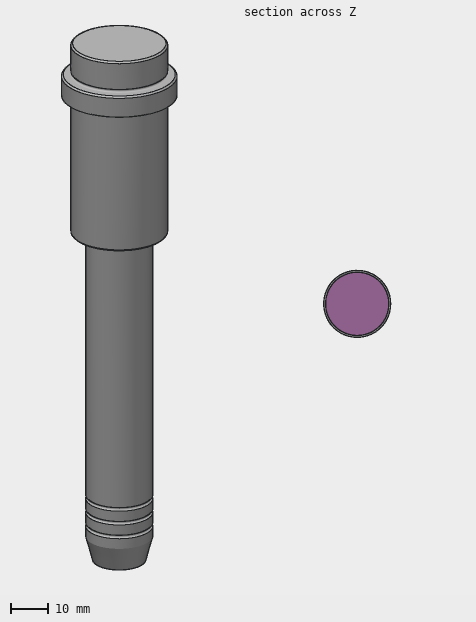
import cadquery as cq
import math

total_length = 150.0
head_length = 55.0
shoulder_z = total_length - head_length
flange_drop = 15.0
flange_thickness = 6.0
flange_bottom_z = total_length - flange_drop
flange_top_z = flange_bottom_z + flange_thickness

shaft_radius = 18.0 / 2
body_radius = 26.0 / 2
flange_radius = 31.0 / 2

groove_radius = 0.5

edge_chamfer = 0.5

relief_width = 1.0
relief_depth = 0.5

taper_length = 7.0
taper_angle = math.radians(15.0)
tip_radius = shaft_radius - taper_length * math.tan(taper_angle)
tip_fillet = 0.5

groove_count = 3
groove_pitch = 4.0
lowest_groove_z = 10.5


def cylinder(radius, bottom_z, top_z):
    return cq.Workplane("XY").workplane(offset=bottom_z).circle(radius).extrude(top_z - bottom_z)


def round_groove(surface_radius, middle_z):
    """Torus centred on a cylinder surface, so that it cuts a half-round groove around it."""
    section = cq.Workplane("XZ").center(surface_radius, middle_z).circle(groove_radius)
    return section.revolve(360, (-surface_radius, 0, 0), (-surface_radius, 1, 0))


def shaft_relief():
    """Ring that cuts a square relief into the shaft below the shoulder."""
    ring = cq.Workplane("XY").workplane(offset=shoulder_z - relief_width)
    return ring.circle(shaft_radius).circle(shaft_radius - relief_depth).extrude(relief_width)


def make_shaft():
    tip = (
        cq.Workplane("XY")
        .circle(tip_radius)
        .workplane(offset=taper_length)
        .circle(shaft_radius)
        .loft(ruled=True)
        .faces("<Z")
        .edges()
        .fillet(tip_fillet)
    )
    shaft = tip.union(cylinder(shaft_radius, taper_length, shoulder_z))
    for index in range(groove_count):
        groove_z = lowest_groove_z + index * groove_pitch
        shaft = shaft.cut(round_groove(shaft_radius, groove_z))
    return shaft.cut(shaft_relief())


def make_head():
    body = cylinder(body_radius, shoulder_z, total_length).edges().chamfer(edge_chamfer)
    for groove_z in (flange_bottom_z - groove_radius, flange_top_z + groove_radius):
        body = body.cut(round_groove(body_radius, groove_z))
    flange = cylinder(flange_radius, flange_bottom_z, flange_top_z).edges(">Z").chamfer(edge_chamfer)
    return body.union(flange)


result = make_shaft().union(make_head())